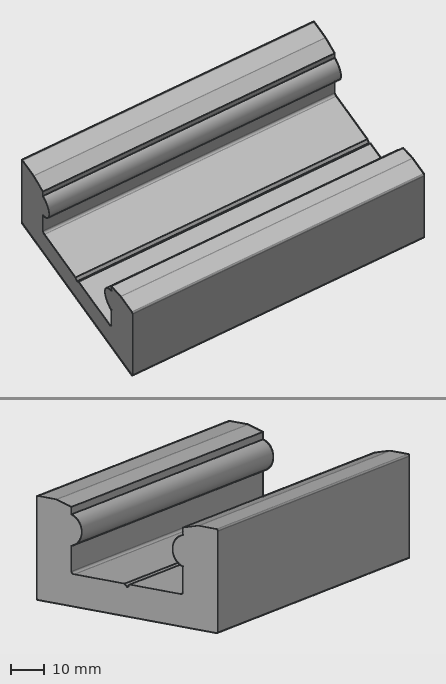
import cadquery as cq
import math

width = 65.0
length = 100.0
height = 32.0

channel_width = 40.0
floor_height = 10.0
channel_corner_radius = 0.8

flat_top_width = 7.0
slope_angle = 15.0

bead_radius = 5.0
bead_height = 23.4
bead_inset = 1.3

groove_width = 1.8
groove_depth = 0.9

outer_edge_radius = 0.5

half_width = width / 2
half_channel = channel_width / 2
slope_start = half_width - flat_top_width
slope_drop = (slope_start - half_channel) * math.tan(math.radians(slope_angle))


def extrude_profile(sketch):
    """Extrude an XZ profile over the full length, centred on Y."""
    return sketch.extrude(length / 2, both=True)


def make_body():
    """Rectangular bar with slightly rounded outer long edges."""
    body = cq.Workplane("XY").box(width, length, height, centered=(True, True, False))
    return body.edges("|Y").fillet(outer_edge_radius)


def make_channel():
    """Space removed between the walls, flaring along the wall-top slopes."""
    right_side = [
        (half_channel, floor_height),
        (half_channel, height - slope_drop),
        (slope_start, height),
    ]
    left_side = [(-x, z) for x, z in reversed(right_side)]
    channel = extrude_profile(cq.Workplane("XZ").polyline(right_side + left_side).close())
    return channel.faces("<Z").edges("|Y").fillet(channel_corner_radius)


def make_groove():
    """V-shaped cut in the channel floor."""
    points = [
        (-groove_width / 2, floor_height),
        (0, floor_height - groove_depth),
        (groove_width / 2, floor_height),
    ]
    return extrude_profile(cq.Workplane("XZ").polyline(points).close())


def make_beads():
    """Pair of round rods partly buried in the walls."""
    axis_x = half_channel + bead_inset
    axes = [(-axis_x, bead_height), (axis_x, bead_height)]
    return extrude_profile(cq.Workplane("XZ").pushPoints(axes).circle(bead_radius))


result = make_body().cut(make_channel()).cut(make_groove()).union(make_beads())